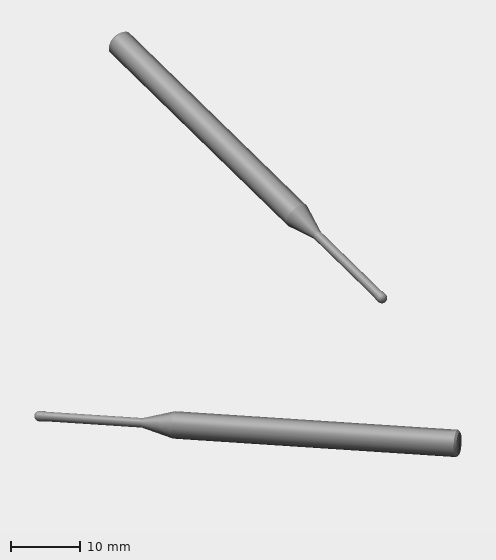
import cadquery as cq

total_length = 63.0
shank_radius = 4.0 / 2
shank_length = 42.3
rear_chamfer = 0.3
taper_length = 4.7
neck_radius = 0.7
ball_radius = 0.75
head_land = 0.75

rear_x = -total_length / 2
tip_x = total_length / 2
taper_start_x = rear_x + shank_length
neck_start_x = taper_start_x + taper_length
ball_center_x = tip_x - ball_radius
head_start_x = ball_center_x - head_land
ball_diagonal = ball_radius / 2**0.5

profile = (
    cq.Workplane("XY")
    .moveTo(rear_x, 0)
    .lineTo(rear_x, shank_radius - rear_chamfer)
    .lineTo(rear_x + rear_chamfer, shank_radius)
    .lineTo(taper_start_x, shank_radius)
    .lineTo(neck_start_x, neck_radius)
    .lineTo(head_start_x, neck_radius)
    .lineTo(head_start_x, ball_radius)
    .lineTo(ball_center_x, ball_radius)
    .threePointArc((ball_center_x + ball_diagonal, ball_diagonal), (tip_x, 0))
    .close()
)

result = profile.revolve(360, (0, 0, 0), (1, 0, 0))